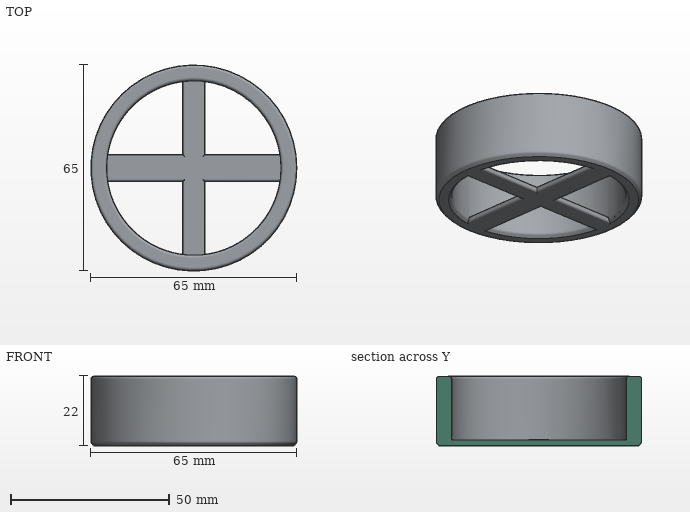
import cadquery as cq
import math

outer_diameter = 65.0
bore_diameter = 55.0
height = 22.0
rim_fillet = 1.0
foot_chamfer = 1.0
chamfer_angle = math.radians(45)
foot_blend_radius = 1.0

x_spoke_width = 8.5
y_spoke_width = 7.0
spoke_thickness = 2.0
spoke_fillet = 0.7

outer_radius = outer_diameter / 2
bore_radius = bore_diameter / 2

spoke_length = outer_radius + bore_radius


def make_ring():
    """Revolved wall: rounded top rims, 45 degree foot chamfers blended into the wall faces."""
    tangent_length = foot_blend_radius * math.tan(chamfer_angle / 2)
    blend_top_z = foot_chamfer + tangent_length
    blend_foot_z = foot_chamfer - tangent_length * math.cos(chamfer_angle)
    blend_inset = tangent_length * math.sin(chamfer_angle)
    rim_arc_z = height - rim_fillet

    profile = (
        cq.Workplane("XZ")
        .moveTo(bore_radius + foot_chamfer, 0)
        .lineTo(outer_radius - foot_chamfer, 0)
        .lineTo(outer_radius - blend_inset, blend_foot_z)
        .radiusArc((outer_radius, blend_top_z), -foot_blend_radius)
        .lineTo(outer_radius, rim_arc_z)
        .radiusArc((outer_radius - rim_fillet, height), -rim_fillet)
        .lineTo(bore_radius + rim_fillet, height)
        .radiusArc((bore_radius, rim_arc_z), -rim_fillet)
        .lineTo(bore_radius, blend_top_z)
        .radiusArc((bore_radius + blend_inset, blend_foot_z), -foot_blend_radius)
        .close()
    )
    return profile.revolve(axisStart=(0, 0), axisEnd=(0, 1))


def make_cross():
    """Two crossing spokes with their long edges rounded above and below."""
    x_spoke = cq.Workplane("XY").rect(spoke_length, x_spoke_width).extrude(spoke_thickness)
    y_spoke = cq.Workplane("XY").rect(y_spoke_width, spoke_length).extrude(spoke_thickness)
    cross = x_spoke.union(y_spoke)
    return cross.faces("<Z or >Z").edges().fillet(spoke_fillet)


result = make_ring().union(make_cross())